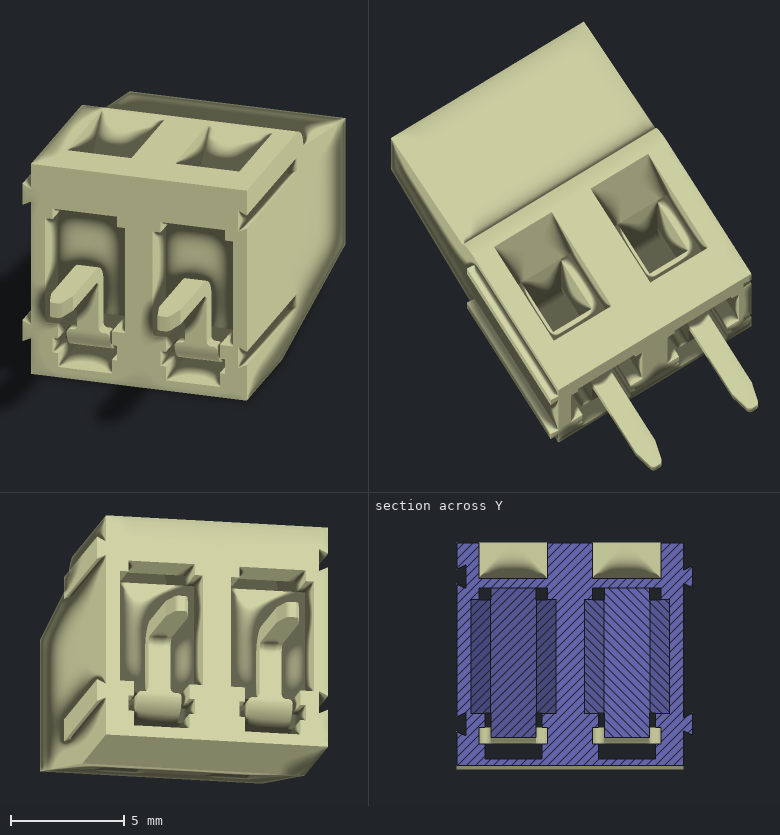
import cadquery as cq


poles = 2
pitch = 5.0
housing_width = poles * pitch
housing_height = 10.0
housing_depth = 14.0
top_depth = 7.0
edge_radius = 1.0
bottom_depth = 5.0
end_bevel = 2.0

rail_depth = 0.4
rail_face = 1.0
rail_root = 0.62
rail_heights = (2.0, 8.5)

cage_width = 3.72
cage_bottom = 2.5
cage_top = 7.5
cage_front = 1.88
cage_back = 7.0
cage_wall = 0.99

funnel_width = 3.0
funnel_floor = 8.0
funnel_front = 2.0
funnel_back = top_depth
funnel_slope_end = 5.4

channel_width = 2.5
channel_floor = 0.5

sheet = 0.7
bend_inside = 0.35
bend_outside = bend_inside + sheet
leg_width = 1.0
leg_top = housing_height / 2 + sheet / 2
leg_overhang = 4.25
tip_length = 1.0
tip_width = 0.5
tip_radius = 0.2
drop_front = 0.42
plate_bottom = 1.15
plate_top = plate_bottom + sheet
plate_width = funnel_width
neck_width = 2.0
shoulder_radius = 0.2
tongue_front = 5.42
tongue_back = tongue_front + sheet
tongue_top = funnel_floor

plate_start = drop_front + bend_outside
plate_end = tongue_back - bend_outside
shoulder_height = plate_bottom + bend_outside

pole_centers = [(pole + 0.5) * pitch for pole in range(poles)]


def block(center_x, width, y_range, z_range):
    """Box centred on center_x that spans the given Y and Z ranges."""
    return (
        cq.Workplane("XY")
        .box(width, y_range[1] - y_range[0], z_range[1] - z_range[0], centered=(True, False, False))
        .translate((center_x, y_range[0], z_range[0]))
    )


def side_prism(outline, width):
    """Extrude a closed outline drawn in (Y, Z) by width, centred on X = 0."""
    return outline.close().extrude(width / 2, both=True)


def housing_block():
    outline = (
        cq.Workplane("YZ")
        .moveTo(0, 0)
        .lineTo(0, housing_height)
        .lineTo(top_depth, housing_height)
        .radiusArc((top_depth + edge_radius, housing_height - edge_radius), edge_radius)
        .lineTo(housing_depth, housing_height - end_bevel)
        .lineTo(housing_depth, end_bevel)
        .lineTo(bottom_depth, 0)
    )
    return side_prism(outline, housing_width).translate((housing_width / 2, 0, 0))


def dovetail(wall_x, height):
    """Dovetail standing out from the wall at wall_x toward -X, as long as the flat top."""
    return (
        cq.Workplane("XZ", origin=(wall_x, 0, height))
        .polyline([
            (0, -rail_root / 2),
            (0, rail_root / 2),
            (-rail_depth, rail_face / 2),
            (-rail_depth, -rail_face / 2),
        ])
        .close()
        .extrude(-top_depth)
    )


def wire_funnel(center_x):
    """Square opening in the top whose far wall slopes down to the cage."""
    outline = cq.Workplane("YZ").polyline([
        (funnel_front, funnel_floor),
        (funnel_front, housing_height),
        (funnel_back, housing_height),
        (funnel_slope_end, funnel_floor),
    ])
    return side_prism(outline, funnel_width).translate((center_x, 0, 0))


def pole_cavity(center_x):
    """Everything cut from the housing for one pole."""
    to_tongue = (0, tongue_back)
    cage_pocket = block(center_x, cage_width, (0, cage_back), (cage_bottom, cage_top))
    wire_passage = block(center_x, funnel_width, to_tongue, (cage_top, funnel_floor))
    channel = block(center_x, channel_width, to_tongue, (channel_floor, cage_bottom))
    plate_groove = block(center_x, plate_width, to_tongue, (plate_bottom, plate_top))
    through_slot = block(center_x, neck_width, (0, housing_depth), (channel_floor, plate_bottom))
    return (
        cage_pocket.union(wire_passage)
        .union(channel)
        .union(plate_groove)
        .union(through_slot)
        .union(wire_funnel(center_x))
    )


def make_housing():
    body = housing_block()
    for height in rail_heights:
        body = body.union(dovetail(0, height))
        body = body.cut(dovetail(housing_width, height))
    for center_x in pole_centers:
        body = body.cut(pole_cavity(center_x))
    return body


def make_cage(center_x):
    """Clamp block with a wire window through it along Z; the tongue lies on the window's far side."""
    body = block(center_x, cage_width, (cage_front, cage_back), (cage_bottom, cage_top))
    window = block(
        center_x, neck_width, (cage_front + cage_wall, tongue_back), (cage_bottom, cage_top)
    )
    return body.cut(window)


def pin_strip():
    """Sheet bent in three places, at the full plate width."""
    drop_back = drop_front + sheet
    leg_bottom = leg_top - sheet
    outline = (
        cq.Workplane("YZ")
        .moveTo(-leg_overhang, leg_top)
        .lineTo(drop_back - bend_outside, leg_top)
        .radiusArc((drop_back, leg_top - bend_outside), bend_outside)
        .lineTo(drop_back, plate_top + bend_inside)
        .radiusArc((drop_back + bend_inside, plate_top), -bend_inside)
        .lineTo(tongue_front - bend_inside, plate_top)
        .radiusArc((tongue_front, plate_top + bend_inside), -bend_inside)
        .lineTo(tongue_front, tongue_top)
        .lineTo(tongue_back, tongue_top)
        .lineTo(tongue_back, plate_bottom + bend_outside)
        .radiusArc((plate_end, plate_bottom), bend_outside)
        .lineTo(plate_start, plate_bottom)
        .radiusArc((drop_front, plate_bottom + bend_outside), bend_outside)
        .lineTo(drop_front, leg_bottom - bend_inside)
        .radiusArc((drop_front - bend_inside, leg_bottom), -bend_inside)
        .lineTo(-leg_overhang, leg_bottom)
    )
    return side_prism(outline, plate_width)


def round_shoulders(outline, edge_direction, low_corner, high_corner):
    """Round the edges along edge_direction that lie between the two corners."""
    region = cq.selectors.BoxSelector(low_corner, high_corner)
    return outline.edges(edge_direction).edges(region).fillet(shoulder_radius)


def leg_blank():
    """Plan outline of the leg, with a tapered and rounded tip, standing above the shoulders."""
    taper_start = tip_length - leg_overhang
    return (
        cq.Workplane("XY", origin=(0, 0, shoulder_height))
        .polyline([
            (-leg_width / 2, plate_start),
            (-leg_width / 2, taper_start),
            (-tip_width / 2, -leg_overhang),
            (tip_width / 2, -leg_overhang),
            (leg_width / 2, taper_start),
            (leg_width / 2, plate_start),
        ])
        .close()
        .extrude(leg_top - shoulder_height)
        .edges("|Z and <Y")
        .fillet(tip_radius)
    )


def drop_blank():
    """Front outline of the vertical strip, widening at rounded shoulders where the lower bend starts."""
    y_range = (0, plate_start)
    strip = block(0, leg_width, y_range, (shoulder_height, leg_top))
    foot = block(0, neck_width, y_range, (0, shoulder_height))
    return round_shoulders(
        strip.union(foot),
        "|Y",
        (-neck_width, 0, shoulder_height - shoulder_radius),
        (neck_width, plate_start, shoulder_height + shoulder_radius),
    )


def plate_blank():
    """Plan outline of the plate, stepping down to the neck width at both ends."""
    z_range = (0, tongue_top)
    wide_start = plate_start + shoulder_radius
    wide_end = plate_end - shoulder_radius
    neck = block(0, neck_width, (0, tongue_back), z_range)
    plate = block(0, plate_width, (wide_start, wide_end), z_range)
    outline = round_shoulders(
        neck.union(plate),
        "|Z",
        (-plate_width, wide_start - shoulder_radius, 0),
        (plate_width, wide_end + shoulder_radius, tongue_top),
    )
    return outline.cut(block(0, plate_width, (0, plate_start), z_range))


def make_pin(center_x):
    """Bent sheet trimmed to the outlines of its leg, vertical strip and plate."""
    blank = leg_blank().union(drop_blank()).union(plate_blank())
    return pin_strip().intersect(blank).translate((center_x, 0, 0))


housing = make_housing()
cages = [make_cage(center_x) for center_x in pole_centers]
pins = [make_pin(center_x) for center_x in pole_centers]

result = cq.Compound.makeCompound([
    housing.val(),
    *[cage.val() for cage in cages],
    *[pin.val() for pin in pins],
])